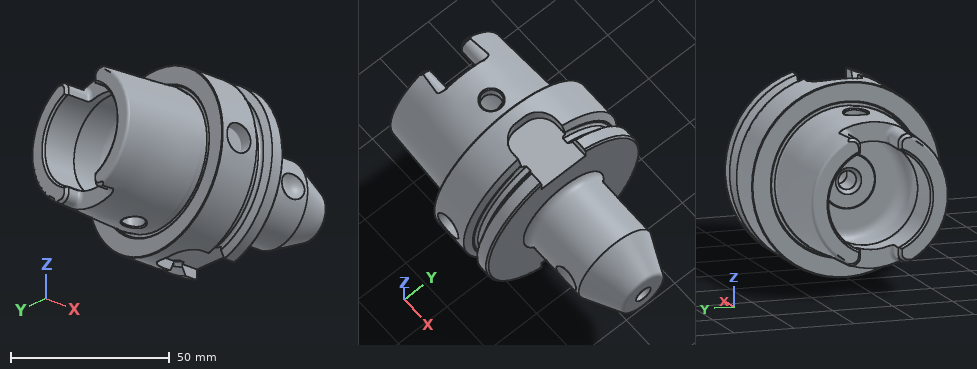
import cadquery as cq
import math

shank_length = 32.0
taper_rate = 1 / 9.98 / 2
gauge_radius = 24.005
gauge_x = -6.3
taper_end_x = -2.2
relief_x = -1.3
relief_end_x = -0.77
relief_radius = 24.0
shank_edge = 0.9
bore_radius = 17.0
bore_edge = 0.7
clamp_shoulder_x = -19.1
clamp_shoulder_angle = 60.0
undercut_radius = 20.0
bore_floor_x = -2.0
bore_floor_flat_radius = 15.65
face_recess_inner_radius = 23.8
face_recess_outer_radius = 25.3
face_recess_depth = 0.4

flange_radius = 31.5
flange_length = 26.0
flange_front_edge = 0.25
flange_back_edge = 0.6
groove_x = 17.85
groove_width = 6.6
groove_neck_half = 1.87
groove_radius = 27.55
groove_fillet = 0.85
groove_wall_angle = 30.0

nose_radius = 15.0
nose_end_x = 64.9
nose_cone_x = 51.1
nose_tip_radius = 9.0
nose_tip_x = 63.9
nose_tip_fillet = 1.3
nose_cone_slope = (nose_radius - nose_tip_radius) / (nose_tip_x - nose_cone_x)
neck_run = 2.9
neck_rise = 1.5

drive_half_width = 6.27
drive_round = 2.95
drive_flare_z = 17.65
drive_floor_fillet = 1.4
drive_edge = 1.0
top_drive_depth = 10.0
bottom_drive_depth = 6.0

key_half_width = 9.05
key_start_x = 5.0
key_corner = 7.0
key_floor = 26.5

clamp_hole_radius = 3.75
clamp_hole_x = -9.1
clamp_hole_edge = 0.45
chip_hole_radius = 5.0
chip_hole_x = 7.0
chip_hole_depth = 4.6
chip_hole_fillet = 0.2
dimple_x = 45.0
dimple_radius = 6.0
dimple_offset = 18.6
coolant_radius = 3.0

cutter_overrun = 1.0

plug_radius = 8.95
plug_length = 10.0
plug_edge = 0.25
plug_countersink_radius = 4.3


def taper_radius(x):
    """Radius of the shank taper at x."""
    return gauge_radius + (x - gauge_x) * taper_rate


def revolve_profile(profile):
    """Full turn of a closed XY profile about the X axis."""
    return profile.close().revolve(360, (0, 0, 0), (1, 0, 0))


def make_blank():
    """Turned outside of the holder: shank, flange and nose."""
    neck_radius = (neck_run**2 + neck_rise**2) / (2 * neck_rise)
    half_sweep = math.asin(neck_run / neck_radius) / 2
    neck_mid = (
        flange_length + neck_run - neck_radius * math.sin(half_sweep),
        nose_radius + neck_radius * (1 - math.cos(half_sweep)),
    )
    edge_x = shank_edge - shank_length
    edge_radius = taper_radius(edge_x)
    edge_bend = shank_edge * (1 - math.sqrt(0.5))
    edge_mid = (edge_bend - shank_length, edge_radius - edge_bend)
    blank = revolve_profile(
        cq.Workplane("XY")
        .moveTo(-shank_length, 0)
        .lineTo(-shank_length, edge_radius - shank_edge)
        .threePointArc(edge_mid, (edge_x, edge_radius))
        .lineTo(taper_end_x, taper_radius(taper_end_x))
        .lineTo(relief_x, relief_radius)
        .lineTo(relief_end_x, relief_radius)
        .lineTo(face_recess_depth, face_recess_inner_radius)
        .lineTo(face_recess_depth, face_recess_outer_radius - face_recess_depth)
        .lineTo(0, face_recess_outer_radius)
        .lineTo(0, flange_radius - flange_front_edge)
        .lineTo(flange_front_edge, flange_radius)
        .lineTo(flange_length - flange_back_edge, flange_radius)
        .lineTo(flange_length, flange_radius - flange_back_edge)
        .lineTo(flange_length, nose_radius + neck_rise)
        .threePointArc(neck_mid, (flange_length + neck_run, nose_radius))
        .lineTo(nose_cone_x, nose_radius)
        .lineTo(nose_end_x, nose_tip_radius - (nose_end_x - nose_tip_x) * nose_cone_slope)
        .lineTo(nose_end_x, 0)
    )
    return blank.faces(">X").edges().fillet(nose_tip_fillet)


def make_gripper_groove():
    """Ring that cuts the V-sided groove around the flange."""
    mouth_half = groove_width / 2
    wall_drop = (mouth_half - groove_neck_half) / math.tan(math.radians(groove_wall_angle))
    wall_radius = flange_radius - wall_drop
    clear = flange_radius + cutter_overrun
    return revolve_profile(
        cq.Workplane("XY")
        .moveTo(groove_x - mouth_half, clear)
        .lineTo(groove_x - mouth_half, flange_radius)
        .lineTo(groove_x - groove_neck_half, wall_radius)
        .lineTo(groove_x - groove_neck_half, groove_radius)
        .lineTo(groove_x + groove_neck_half, groove_radius)
        .lineTo(groove_x + groove_neck_half, wall_radius)
        .lineTo(groove_x + mouth_half, flange_radius)
        .lineTo(groove_x + mouth_half, clear)
    ).edges(cq.selectors.RadiusNthSelector(0)).fillet(groove_fillet)


def make_bore():
    """Blind bore of the shank: chamfered mouth, clamping shoulder, wide undercut, rounded floor."""
    mouth_radius = bore_radius + bore_edge
    shoulder_run = (undercut_radius - bore_radius) / math.tan(math.radians(clamp_shoulder_angle))
    floor_fillet = undercut_radius - bore_floor_flat_radius
    bore = revolve_profile(
        cq.Workplane("XY")
        .moveTo(-shank_length, 0)
        .lineTo(-shank_length, mouth_radius)
        .lineTo(bore_edge - shank_length, bore_radius)
        .lineTo(clamp_shoulder_x, bore_radius)
        .lineTo(clamp_shoulder_x + shoulder_run, undercut_radius)
        .lineTo(bore_floor_x, undercut_radius)
        .lineTo(bore_floor_x, 0)
    )
    return bore.faces(">X").edges().fillet(floor_fillet)


def drive_outline(x):
    """Drive slot section at x: straight walls that flare outward through a round."""
    flare_y = drive_half_width + drive_round
    flare_top = drive_flare_z + drive_round
    clear = flange_radius
    bend = drive_round * (1 - math.sqrt(0.5))
    bend_y = drive_half_width + bend
    bend_z = flare_top - bend
    return (
        cq.Workplane("YZ", origin=(x, 0, 0))
        .moveTo(-drive_half_width, 0)
        .lineTo(-drive_half_width, drive_flare_z)
        .threePointArc((-bend_y, bend_z), (-flare_y, flare_top))
        .lineTo(-clear, flare_top)
        .lineTo(-clear, clear)
        .lineTo(clear, clear)
        .lineTo(clear, flare_top)
        .lineTo(flare_y, flare_top)
        .threePointArc((bend_y, bend_z), (drive_half_width, drive_flare_z))
        .lineTo(drive_half_width, 0)
        .close()
    )


def make_drive_slot(depth):
    """Cutter for one drive slot on the +Z side, with a rounded floor and a chamfered mouth."""
    slot = drive_outline(-shank_length).extrude(depth)
    slot = slot.faces(">X").edges().fillet(drive_floor_fillet)
    mouth = drive_outline(drive_edge - shank_length).extrude(-drive_edge, taper=-45)
    return slot.union(mouth)


def make_key_slot():
    """Cutter for one flat-floored key slot on the +Z side, open toward the nose."""
    length = flange_length - key_start_x
    return (
        cq.Workplane("XY", origin=(key_start_x + length / 2, 0, key_floor))
        .rect(length, 2 * key_half_width)
        .extrude(flange_radius)
        .edges("|Z and <X")
        .fillet(key_corner)
    )


def flip(cutter):
    """The same cutter on the -Z side."""
    return cutter.rotate((0, 0, 0), (1, 0, 0), 180)


def drill_clamp_holes(housing):
    """Access hole through both walls of the shank, chamfered at both mouths."""
    length = 2 * (gauge_radius + cutter_overrun)
    drill = cq.Workplane("XY").circle(clamp_hole_radius).extrude(length).translate(
        (clamp_hole_x, 0, -length / 2)
    )
    housing = housing.cut(drill)
    for side in (1, -1):
        mouth = (clamp_hole_x, 0, side * taper_radius(clamp_hole_x))
        housing = housing.edges(cq.selectors.NearestToPointSelector(mouth)).chamfer(clamp_hole_edge)
    return housing


def make_chip_hole():
    """Cutter for the blind data chip hole in the -Y side of the flange, with a rounded floor edge."""
    floor = flange_radius - chip_hole_depth
    hole = (
        cq.Workplane("XZ", origin=(chip_hole_x, -floor, 0))
        .circle(chip_hole_radius)
        .extrude(chip_hole_depth + cutter_overrun)
    )
    return hole.faces(">Y").edges().fillet(chip_hole_fillet)


def make_dimple():
    """Spherical dimple in the -Y side of the nose."""
    return cq.Workplane("XY").sphere(dimple_radius).translate((dimple_x, -dimple_offset, 0))


def make_plug_seat():
    """Cylinder in the bore floor that the plug fills."""
    return cq.Workplane("YZ", origin=(bore_floor_x, 0, 0)).circle(plug_radius).extrude(plug_length)


def make_coolant_hole():
    """Passage along the axis, from the bore out through the nose."""
    length = nose_end_x - bore_floor_x
    return cq.Workplane("YZ", origin=(bore_floor_x, 0, 0)).circle(coolant_radius).extrude(length)


def make_housing():
    housing = make_blank().cut(make_gripper_groove()).cut(make_bore())
    housing = housing.cut(make_drive_slot(top_drive_depth))
    housing = housing.cut(flip(make_drive_slot(bottom_drive_depth)))
    key_slot = make_key_slot()
    housing = housing.cut(key_slot).cut(flip(key_slot))
    housing = drill_clamp_holes(housing)
    housing = housing.cut(make_chip_hole()).cut(make_dimple())
    return housing.cut(make_plug_seat()).cut(make_coolant_hole())


def make_plug():
    """Bored plug, flush with the bore floor, with a broken rim and a countersunk passage."""
    plug = make_plug_seat().cut(make_coolant_hole())
    plug = plug.faces("<X").edges(cq.selectors.RadiusNthSelector(-1)).chamfer(plug_edge)
    countersink = cq.Workplane(
        cq.Solid.makeCone(
            plug_countersink_radius,
            coolant_radius,
            plug_countersink_radius - coolant_radius,
            pnt=cq.Vector(bore_floor_x, 0, 0),
            dir=cq.Vector(1, 0, 0),
        )
    )
    return plug.cut(countersink)


housing = make_housing()
plug = make_plug()
result = cq.Compound.makeCompound([housing.val(), plug.val()])